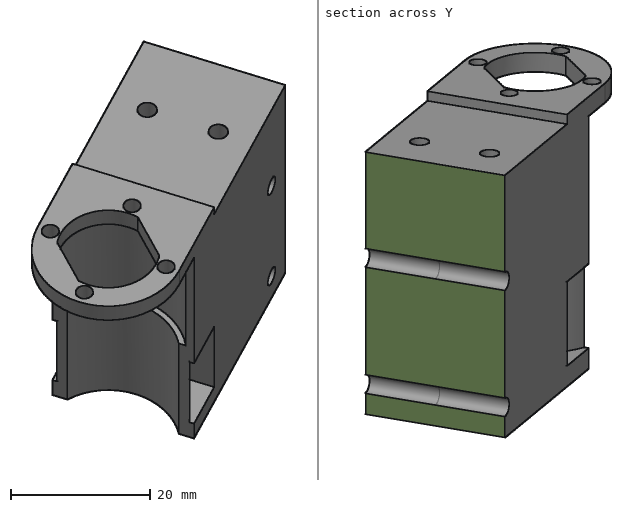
import cadquery as cq
import math

width = 22.0
length = 51.0
height = 42.0
flange_radius = width / 2
back_y = length - flange_radius

front_y = 5.6
flange_back_y = 13.2
flange_thickness = 3.0
flange_step = 1.5
block_top = height - flange_step
flange_bottom = height - flange_thickness

lower_bore_radius = 10.3
upper_bore_radius = 11.2
shoulder_z = 19.55

slot_bottom = 3.2
slot_top = 16.2
sleeve_radius = 11.75

opening_radius = 7.45
opening_flat_distance = 6.25
opening_flat_angle = 45
flange_hole_diameter = 2.5
flange_hole_count = 4
flange_hole_circle_radius = 9.0

block_hole_diameter = 2.8
top_hole_spacing = 11.0
top_hole_y = 28.05
top_hole_depth = 10.2
cross_hole_y = 34.85
cross_hole_heights = (4.7, 24.15)


def cylinder(radius, bottom, top, x=0, y=0):
    """Vertical cylinder between two heights."""
    return cq.Workplane("XY", origin=(x, y, bottom)).circle(radius).extrude(top - bottom)


def full_width_box(y_start, y_end, bottom, top):
    """Box spanning the whole width, between two Y positions and two heights."""
    return (
        cq.Workplane("XY", origin=(0, y_start, bottom))
        .box(width, y_end - y_start, top - bottom, centered=(True, False, False))
    )


def make_body():
    block = full_width_box(front_y, back_y, 0, block_top)
    flange = full_width_box(0, flange_back_y, flange_bottom, height)
    flange_nose = cylinder(flange_radius, flange_bottom, height)
    return block.union(flange).union(flange_nose)


def make_seat():
    lower = cylinder(lower_bore_radius, 0, shoulder_z)
    upper = cylinder(upper_bore_radius, shoulder_z, flange_bottom)
    return lower.union(upper)


def make_strap_slot():
    window = full_width_box(front_y, flange_back_y, slot_bottom, slot_top)
    return window.cut(cylinder(sleeve_radius, slot_bottom, slot_top))


def make_opening():
    """Round opening with two parallel flats on a diagonal."""
    flats = (
        cq.Workplane("XY", origin=(0, 0, flange_bottom))
        .rect(2 * opening_flat_distance, 2 * opening_radius)
        .extrude(flange_thickness)
        .rotate((0, 0, 0), (0, 0, 1), opening_flat_angle)
    )
    return cylinder(opening_radius, flange_bottom, height).intersect(flats)


def cut_flange_holes(body):
    for index in range(flange_hole_count):
        angle = 2 * math.pi * index / flange_hole_count
        x = flange_hole_circle_radius * math.cos(angle)
        y = flange_hole_circle_radius * math.sin(angle)
        body = body.cut(cylinder(flange_hole_diameter / 2, flange_bottom, height, x, y))
    return body


def cut_block_holes(body):
    for x in (-top_hole_spacing / 2, top_hole_spacing / 2):
        hole = cylinder(block_hole_diameter / 2, block_top - top_hole_depth, block_top, x, top_hole_y)
        body = body.cut(hole)
    for z in cross_hole_heights:
        hole = (
            cq.Workplane("YZ", origin=(0, cross_hole_y, z))
            .circle(block_hole_diameter / 2)
            .extrude(width / 2, both=True)
        )
        body = body.cut(hole)
    return body


result = make_body().cut(make_seat()).cut(make_strap_slot()).cut(make_opening())
result = cut_flange_holes(result)
result = cut_block_holes(result)